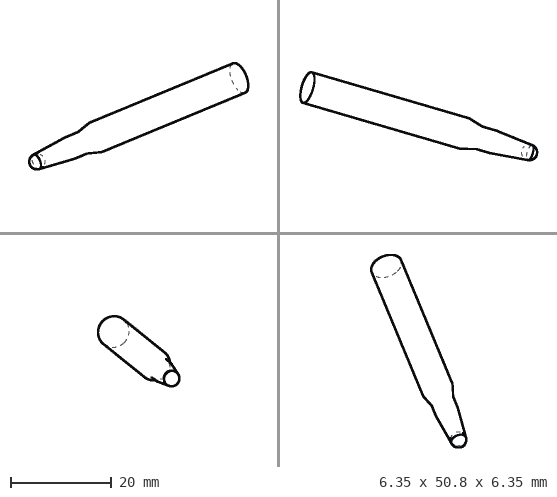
import cadquery as cq
import math

total_length = 50.8
shank_diameter = 6.35
neck_diameter = 4.65
ball_radius = 1.6
rim_position = 1.4
neck_start = 9.55
neck_end = 12.75
shank_start = 15.95

shank_radius = shank_diameter / 2
neck_radius = neck_diameter / 2
ball_center = (0, ball_radius, 0)
rim_radius = math.sqrt(ball_radius**2 - (ball_radius - rim_position) ** 2)


def make_ball():
    """Full sphere that forms the rounded tip."""
    return cq.Workplane("XY").sphere(ball_radius).translate(ball_center)


def make_holder():
    """Stepped and tapered round shank with a spherical seat for the ball."""
    blank = (
        cq.Workplane("XY")
        .moveTo(0, rim_position)
        .lineTo(rim_radius, rim_position)
        .lineTo(neck_radius, neck_start)
        .lineTo(neck_radius, neck_end)
        .lineTo(shank_radius, shank_start)
        .lineTo(shank_radius, total_length)
        .lineTo(0, total_length)
        .close()
        .revolve(360, (0, 0, 0), (0, 1, 0))
    )
    return blank.cut(make_ball()).solids()


ball = make_ball()
holder = make_holder()

result = cq.Compound.makeCompound([holder.val(), ball.val()])